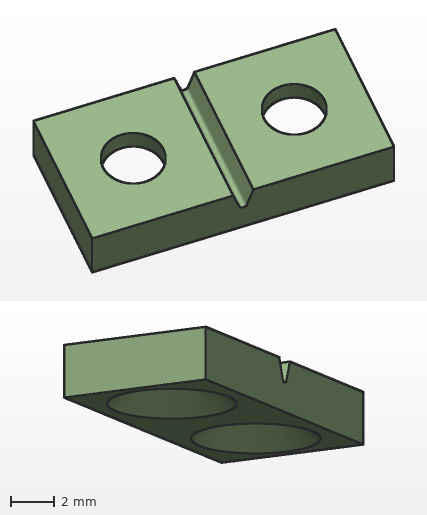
import cadquery as cq
import math

length = 15.0
width = length / 2
thickness = 2.5

hole_diameter = 3.0
hole_spacing = 8.0
straight_depth = 1.0

countersink_angle = 90
countersink_depth = thickness - straight_depth
countersink_spread = countersink_depth * math.tan(math.radians(countersink_angle / 2))
countersink_diameter = hole_diameter + 2 * countersink_spread

groove_width = 1.0
groove_depth = 1.1
root_radius = 0.2


def make_plate():
    return cq.Workplane("XY").box(width, length, thickness, centered=(True, True, False))


def make_groove():
    """Solid to remove: straight flanks tangent to the arc at the root."""
    half_width = groove_width / 2
    root_z = thickness - groove_depth
    center_z = root_z + root_radius
    rise = thickness - center_z

    edge_distance = math.hypot(half_width, rise)
    flank_angle = math.atan2(half_width, rise) - math.asin(root_radius / edge_distance)
    tangent_y = root_radius * math.cos(flank_angle)
    tangent_z = center_z - root_radius * math.sin(flank_angle)

    return (
        cq.Workplane("YZ")
        .moveTo(-half_width, thickness)
        .lineTo(-tangent_y, tangent_z)
        .threePointArc((0, root_z), (tangent_y, tangent_z))
        .lineTo(half_width, thickness)
        .close()
        .extrude(width / 2, both=True)
    )


def drill_holes(body):
    """Countersink both holes from the underside and drill them through."""
    return (
        body.faces("<Z")
        .workplane(origin=(0, 0, 0))
        .pushPoints([(0, -hole_spacing / 2), (0, hole_spacing / 2)])
        .cskHole(hole_diameter, countersink_diameter, countersink_angle)
    )


result = drill_holes(make_plate()).cut(make_groove())